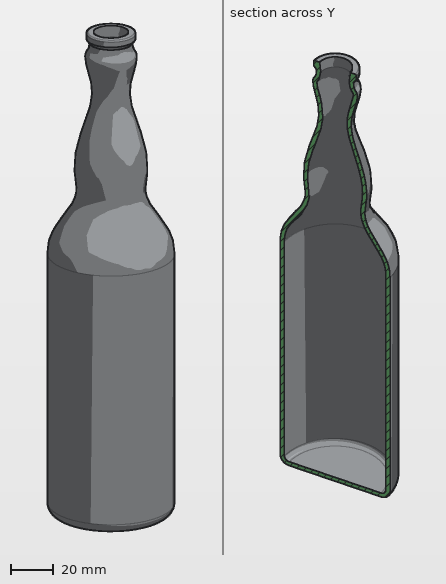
import cadquery as cq

height = 241.8
body_diameter = 60.0
cavity_diameter = 55.0
body_radius = body_diameter / 2
wall = (body_diameter - cavity_diameter) / 2
base_round = 5.0
shoulder_start = 130.3

neck_stations = [
    (24.5, 145.5),
    (17.5, 157.0),
    (16.5, 160.8),
    (17.2, 170.0),
    (13.8, 192.0),
    (9.5, 216.5),
    (11.8, 231.2),
    (10.2, 236.5),
]
collar_top = neck_stations[-1]

lip_radius = 11.5
lip_height = 3.5
lip_round = 0.7
mouth_radius = 8.2

UP = (0, 1)


def outer_body():
    """Revolve the outside half-profile below the lip about the Z axis."""
    round_leg = base_round * (1 - 0.5 ** 0.5)
    profile = (
        cq.Workplane("XZ")
        .lineTo(body_radius - base_round, 0)
        .threePointArc((body_radius - round_leg, round_leg), (body_radius, base_round))
        .lineTo(body_radius, shoulder_start)
        .spline(neck_stations, tangents=[UP, UP], includeCurrent=True)
        .lineTo(0, collar_top[1])
        .close()
    )
    return profile.revolve(360, (0, 0, 0), (0, 1, 0))


def lip():
    """Flared lip ring, its bore opening out slightly from the throat."""
    profile = (
        cq.Workplane("XZ")
        .moveTo(collar_top[0] - wall, collar_top[1])
        .lineTo(*collar_top)
        .lineTo(lip_radius, height - lip_height)
        .lineTo(lip_radius, height)
        .lineTo(mouth_radius, height)
        .close()
    )
    ring = profile.revolve(360, (0, 0, 0), (0, 1, 0))
    return ring.faces(">Z").edges(cq.selectors.RadiusNthSelector(-1)).fillet(lip_round)


result = outer_body().faces(">Z").shell(-wall).union(lip())